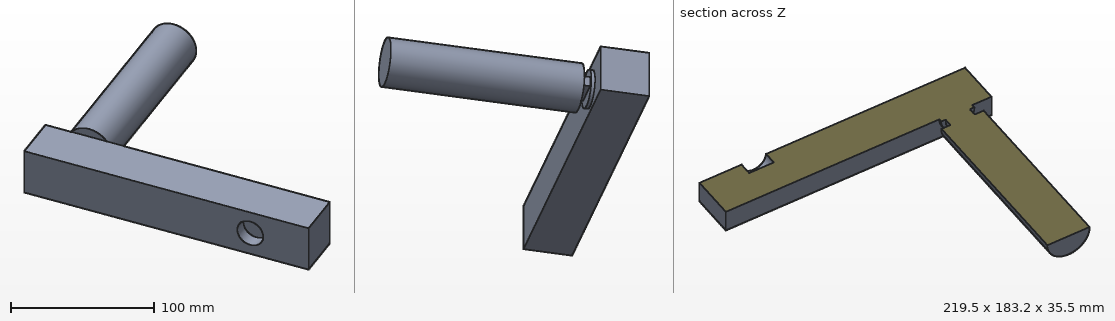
import cadquery as cq

arm_length = 219.5
arm_depth = 35.0
arm_height = 35.5

overall_depth = 183.2
handle_x = 29.6
handle_diameter = 35.0
collar_diameter = 27.5
collar_thickness = 2.6
tang_width = 20.5
tang_height = 7.5
tang_length = 6.0

hole_diameter = 20.0
hole_x = 174.5
hole_depth = 10.0

collar_end = arm_depth + collar_thickness
handle_start = collar_end + tang_length
handle_length = overall_depth - handle_start


def cylinder_along_y(x, y_start, diameter, length):
    """Cylinder running toward +Y from y_start."""
    return cq.Workplane(
        cq.Solid.makeCylinder(diameter / 2, length, cq.Vector(x, y_start, 0), cq.Vector(0, 1, 0))
    )


arm = cq.Workplane("XY").box(arm_length, arm_depth, arm_height, centered=(False, False, True))
arm = arm.cut(cylinder_along_y(hole_x, 0, hole_diameter, hole_depth))

collar = cylinder_along_y(handle_x, arm_depth, collar_diameter, collar_thickness)
tang = (
    cq.Workplane("XY")
    .box(tang_width, tang_length, tang_height, centered=(True, False, True))
    .translate((handle_x, collar_end, 0))
)
handle = cylinder_along_y(handle_x, handle_start, handle_diameter, handle_length)

result = arm.union(collar).union(tang).union(handle)